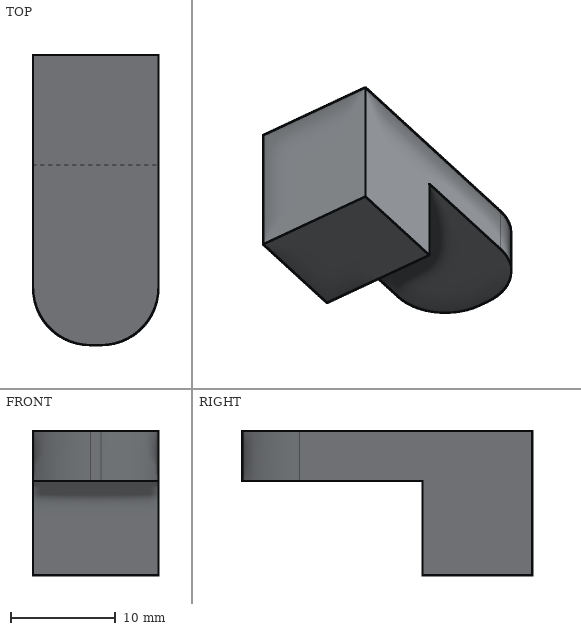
import cadquery as cq

width = 12.0
arm_length = 27.72
arm_thickness = 4.8
block_length = 10.5
total_height = 13.8
nose_flat_width = 1.0

block_height = total_height - arm_thickness
nose_radius = (width - nose_flat_width) / 2


def make_block():
    """Rectangular foot under the square end of the arm, its back face on Y = 0."""
    return cq.Workplane("XY").box(
        width, block_length, block_height, centered=(True, False, False)
    ).translate((0, -block_length, 0))


def make_arm():
    """Flat arm reaching toward -Y, with its two far vertical edges rounded."""
    arm = cq.Workplane("XY").box(
        width, arm_length, arm_thickness, centered=(True, False, False)
    ).translate((0, -arm_length, block_height))
    return arm.faces("<Y").edges("|Z").fillet(nose_radius)


result = make_block().union(make_arm())